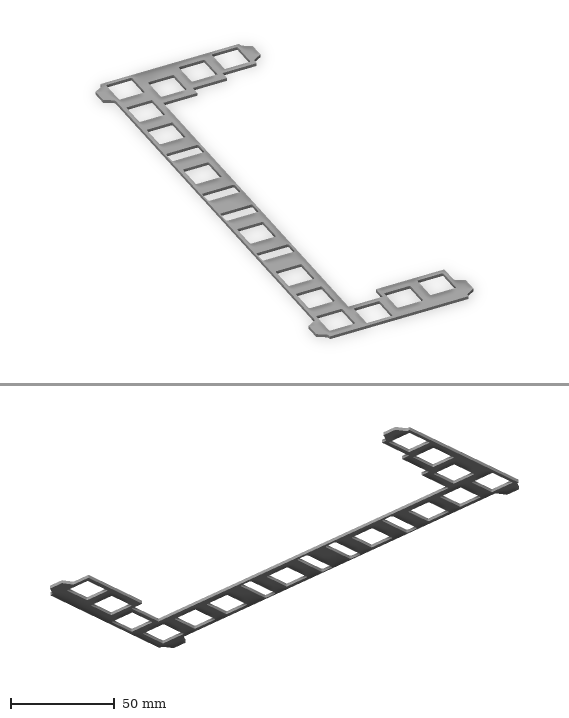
import cadquery as cq

KEY_UNIT = 19.05
GRID_COLUMNS = 12.75
GRID_ROWS = 4
EDGE_INSET = 0.525
THICKNESS = 1.6

PLATE_WIDTH = GRID_COLUMNS * KEY_UNIT - 2 * EDGE_INSET
PLATE_DEPTH = GRID_ROWS * KEY_UNIT - 2 * EDGE_INSET

ROW_STEP = KEY_UNIT - EDGE_INSET

SWITCH_SIZE = 14.0
SWITCH_CORNER_RADIUS = 0.5

STABILISER_WIDTH = 7.0
STABILISER_DEPTH = 17.5
STABILISER_WALL = 0.75
STABILISER_CORNER_RADIUS = 0.8
STABILISER_OFFSET = 1.0

EAR_HEIGHT = 5.0
EAR_TIP_START = 4.75
EAR_TIP_WIDTH = 8.0
EAR_OUTER_FLARE = 3.0
EAR_INNER_FLARE = 2.8
EAR_ROOT_RADIUS = 2.0
EAR_STRIP_DEPTH = 0.5

PICK_MARGIN = 0.1

BOTTOM_ROW_KEYS = [0.5, 1.625, 2.75, 4.75, 7.75, 9.875, 11.0, 12.125]
STABILISED_KEYS = [4.75, 7.75]
UPPER_ROW_KEYS = [
    (0.5, GRID_COLUMNS - 0.875),
    (0.625, GRID_COLUMNS - 0.75),
    (0.875, GRID_COLUMNS - 0.5),
]

LEFT_ARM_UNITS = [1.0, 1.25, 1.5]
RIGHT_ARM_UNITS = [1.375, 1.375, 1.0]


def column_x(units):
    """X of a position on the key grid; the plate's left side is X = 0."""
    return units * KEY_UNIT - EDGE_INSET


def row_y(row):
    """Y of a key row's centre, row 0 being the one at the front edge Y = 0."""
    return (row + 0.5) * KEY_UNIT - EDGE_INSET


def rectangle(x_min, x_max, y_min, y_max):
    """Full-thickness block between the given limits."""
    return (
        cq.Workplane("XY")
        .box(x_max - x_min, y_max - y_min, THICKNESS, centered=False)
        .translate((x_min, y_min, 0))
    )


def frame():
    """Front bar plus the two arms, each arm made of one block per row."""
    bar_depth = PLATE_DEPTH - len(LEFT_ARM_UNITS) * ROW_STEP
    body = rectangle(0, PLATE_WIDTH, 0, bar_depth)
    for index, (left_units, right_units) in enumerate(zip(LEFT_ARM_UNITS, RIGHT_ARM_UNITS)):
        y_max = PLATE_DEPTH - index * ROW_STEP
        y_min = y_max - ROW_STEP
        right_start = PLATE_WIDTH - column_x(right_units)
        body = body.union(rectangle(0, column_x(left_units), y_min, y_max))
        body = body.union(rectangle(right_start, PLATE_WIDTH, y_min, y_max))
    return body.clean()


def front_left_ear():
    """Tapered ear on the front edge at the left corner, overlapping the bar."""
    tip_end = EAR_TIP_START + EAR_TIP_WIDTH
    root_start = EAR_TIP_START - EAR_OUTER_FLARE
    root_end = tip_end + EAR_INNER_FLARE
    strip_end = root_end + EAR_ROOT_RADIUS
    ear = (
        cq.Workplane("XY")
        .moveTo(0, EAR_STRIP_DEPTH)
        .lineTo(0, 0)
        .lineTo(root_start, 0)
        .lineTo(EAR_TIP_START, -EAR_HEIGHT)
        .lineTo(tip_end, -EAR_HEIGHT)
        .lineTo(root_end, 0)
        .lineTo(strip_end, 0)
        .lineTo(strip_end, EAR_STRIP_DEPTH)
        .close()
        .extrude(THICKNESS)
    )
    root_edges = cq.selectors.BoxSelector(
        (root_start - PICK_MARGIN, -PICK_MARGIN, -PICK_MARGIN),
        (root_end + PICK_MARGIN, PICK_MARGIN, THICKNESS + PICK_MARGIN),
    )
    return ear.edges("|Z").edges(root_edges).fillet(EAR_ROOT_RADIUS)


def ears():
    """The front-left ear mirrored to all four corners."""
    middle = (PLATE_WIDTH / 2, PLATE_DEPTH / 2, 0)
    front_left = front_left_ear()
    front = front_left.union(front_left.mirror("YZ", middle))
    return front.union(front.mirror("XZ", middle))


def switch_cutouts():
    """Square openings with rounded corners, one per key."""
    back_row = GRID_ROWS - 1
    centres = [(column_x(units), row_y(0)) for units in BOTTOM_ROW_KEYS]
    for index, row_keys in enumerate(UPPER_ROW_KEYS):
        centres += [(column_x(units), row_y(back_row - index)) for units in row_keys]
    return (
        cq.Workplane("XY")
        .pushPoints(centres)
        .rect(SWITCH_SIZE, SWITCH_SIZE)
        .extrude(THICKNESS)
        .edges("|Z")
        .fillet(SWITCH_CORNER_RADIUS)
    )


def stabiliser_slots():
    """Rounded through slots on both sides of each stabilised key."""
    centre_y = STABILISER_WALL + STABILISER_DEPTH / 2
    centres = []
    for units in STABILISED_KEYS:
        for side in (-1, 1):
            centres.append((column_x(units + side * STABILISER_OFFSET), centre_y))
    return (
        cq.Workplane("XY")
        .pushPoints(centres)
        .rect(STABILISER_WIDTH, STABILISER_DEPTH)
        .extrude(THICKNESS)
        .edges("|Z")
        .fillet(STABILISER_CORNER_RADIUS)
    )


plate = frame().union(ears()).cut(switch_cutouts()).cut(stabiliser_slots())
result = plate.translate((-PLATE_WIDTH / 2, -PLATE_DEPTH / 2, 0))